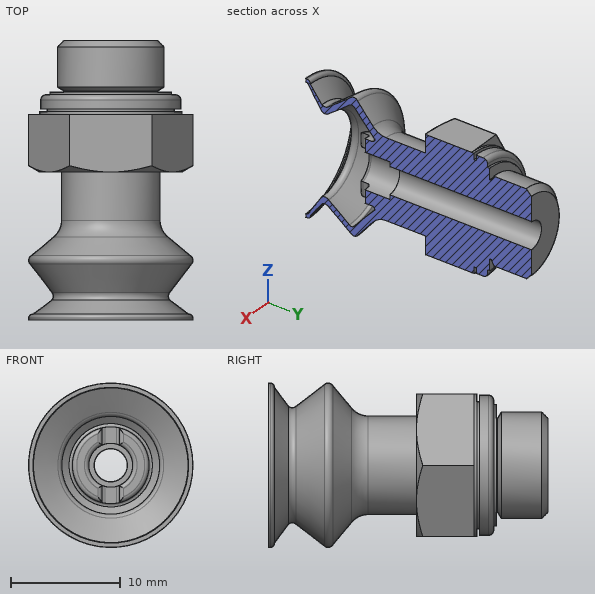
import cadquery as cq
import math


LENGTH = 25.5
HEX_START = 13.5
HEX_END = 18.75
COLLAR_END = 19.0
SEAL_START = 19.23
SEAL_END = 20.55
FLANGE_END = 20.78
RELIEF_END = 20.9
THREAD_START = 21.25

HEX_FLATS = 13.0
HEX_CHAMFER_ANGLE = 30.0
COLLAR_DIA = 13.0
GROOVE_DIA = 11.6
SEAL_DIA = 12.8
SEAL_FILLET = 0.5
FLANGE_DIA = 11.1
RELIEF_DIA = 8.6
THREAD_DIA = 9.73
THREAD_CHAMFER = 0.6
BORE_DIA = 3.0

STEM_DIA = 9.0
BELLOWS_DIA = 15.0
NECK_DIA = 10.52
NECK_FLARE = 0.1
NECK_START = 1.85
NECK_END = 2.5
LIP_RIM = 0.18
LIP_ROUND_DIA = 14.2
LIP_ROUND_END = 0.55
FOLD_Y = 5.44
FOLD_LOWER = (7.36, 5.1)
FOLD_UPPER = (7.23, 5.9)
SHOULDER = (5.2, 7.6)
STEM_START = 9.1

LIP_OPENING_DIA = 14.2
LIP_LEDGE_DIA = 14.1
LIP_LEDGE_DEPTH = 0.2
THROAT_DIA = 8.92
THROAT_LOWER = (4.82, 1.65)
THROAT_Y = 2.12
THROAT_UPPER = (4.63, 2.6)
INNER_FOLD_LOWER = (6.45, 4.95)
INNER_FOLD_RADIUS = 6.53
INNER_FOLD_Y = 5.2
INNER_FOLD_UPPER = (6.42, 5.45)
INNER_SHOULDER = (3.8, 7.77)

TUBE_DIA = 7.0
TUBE_END = 5.5
TUBE_BORE_DIA = 4.0
TUBE_BORE_DEPTH = 4.0
TUBE_FILLET = 0.4

SLOT_WIDTH = 1.55
SLOT_DEPTH = 1.2
SLOT_MOUTH_FILLET = 0.39
SLOT_FLOOR_FILLET = 0.26


def revolve(profile):
    """Close a (radius, Y) profile and turn it about the Y axis."""
    return profile.close().revolve(360, (0, 0, 0), (0, 1, 0))


def cylinder(diameter, start, end):
    """Round bar along Y between two stations."""
    profile = cq.Workplane("XY").moveTo(0, start).lineTo(diameter / 2, start)
    return revolve(profile.lineTo(diameter / 2, end).lineTo(0, end))


def arc_middle(start, end, start_direction):
    """Middle point of the arc that leaves `start` in the given direction and reaches `end`."""
    chord = (end[0] - start[0], end[1] - start[1])
    length = math.hypot(*chord)
    cross = chord[0] * start_direction[1] - chord[1] * start_direction[0]
    dot = chord[0] * start_direction[0] + chord[1] * start_direction[1]
    sagitta = length / 2 * math.tan(math.atan2(cross, dot) / 2)
    middle_x = (start[0] + end[0]) / 2 - chord[1] / length * sagitta
    middle_y = (start[1] + end[1]) / 2 + chord[0] / length * sagitta
    return (middle_x, middle_y)


def bellows_body():
    """Outer shape of the bellows and its stem, without the cavity."""
    rim = (BELLOWS_DIA / 2, LIP_RIM)
    lip_round = (LIP_ROUND_DIA / 2, LIP_ROUND_END)
    stem = (STEM_DIA / 2, STEM_START)
    shoulder_middle = arc_middle(stem, SHOULDER, (0, -1))
    neck_middle = (NECK_DIA / 2, (NECK_START + NECK_END) / 2)
    neck_edge = NECK_DIA / 2 + NECK_FLARE
    profile = (
        cq.Workplane("XY")
        .lineTo(BELLOWS_DIA / 2, 0)
        .lineTo(*rim)
        .threePointArc(arc_middle(rim, lip_round, (0, 1)), lip_round)
        .lineTo(neck_edge, NECK_START)
        .threePointArc(neck_middle, (neck_edge, NECK_END))
        .lineTo(*FOLD_LOWER)
        .threePointArc((BELLOWS_DIA / 2, FOLD_Y), FOLD_UPPER)
        .lineTo(*SHOULDER)
        .threePointArc(shoulder_middle, stem)
        .lineTo(STEM_DIA / 2, HEX_START)
        .lineTo(0, HEX_START)
    )
    return revolve(profile)


def bellows_cavity():
    """Space enclosed by the bellows, down to the root fillet around the insert tube."""
    tube_radius = TUBE_DIA / 2
    root_start = (tube_radius, INNER_SHOULDER[1] - (INNER_SHOULDER[0] - tube_radius))
    root_middle = arc_middle(root_start, INNER_SHOULDER, (0, 1))
    profile = (
        cq.Workplane("XY")
        .lineTo(LIP_OPENING_DIA / 2, 0)
        .lineTo(LIP_LEDGE_DIA / 2, LIP_LEDGE_DEPTH)
        .lineTo(*THROAT_LOWER)
        .threePointArc((THROAT_DIA / 2, THROAT_Y), THROAT_UPPER)
        .lineTo(*INNER_FOLD_LOWER)
        .threePointArc((INNER_FOLD_RADIUS, INNER_FOLD_Y), INNER_FOLD_UPPER)
        .lineTo(*INNER_SHOULDER)
        .threePointArc(root_middle, root_start)
        .lineTo(0, root_start[1])
    )
    return revolve(profile)


def slot_cutter():
    """Slot along Z with a rounded mouth and a rounded floor."""
    half = SLOT_WIDTH / 2
    floor = TUBE_END + SLOT_DEPTH
    mouth_half = half + SLOT_MOUTH_FILLET
    floor_half = half - SLOT_FLOOR_FILLET
    mouth_end = TUBE_END + SLOT_MOUTH_FILLET
    floor_start = floor - SLOT_FLOOR_FILLET
    mouth_right = arc_middle((half, mouth_end), (mouth_half, TUBE_END), (0, -1))
    floor_right = arc_middle((half, floor_start), (floor_half, floor), (0, 1))
    return (
        cq.Workplane("XY")
        .moveTo(-mouth_half, TUBE_END)
        .lineTo(mouth_half, TUBE_END)
        .threePointArc(mouth_right, (half, mouth_end))
        .lineTo(half, floor_start)
        .threePointArc(floor_right, (floor_half, floor))
        .lineTo(-floor_half, floor)
        .threePointArc((-floor_right[0], floor_right[1]), (-half, floor_start))
        .lineTo(-half, mouth_end)
        .threePointArc((-mouth_right[0], mouth_right[1]), (-mouth_half, TUBE_END))
        .close()
        .extrude(TUBE_DIA, both=True)
    )


def insert_tube():
    """Slotted tube with rounded end edges."""
    tube = cylinder(TUBE_DIA, TUBE_END, HEX_START)
    tube = tube.cut(cylinder(TUBE_BORE_DIA, TUBE_END, TUBE_END + TUBE_BORE_DEPTH))
    tube = tube.faces("<Y").edges().fillet(TUBE_FILLET)
    return tube.cut(slot_cutter())


def hexagon():
    """Hexagon with corners on X, chamfered on the side facing the bellows."""
    corner_radius = HEX_FLATS / 2 / math.cos(math.pi / 6)
    chamfer_rise = (corner_radius - HEX_FLATS / 2) * math.tan(math.radians(HEX_CHAMFER_ANGLE))
    prism = (
        cq.Workplane("XZ", origin=(0, HEX_END, 0))
        .polygon(6, 2 * corner_radius)
        .extrude(HEX_END - HEX_START)
    )
    envelope = (
        cq.Workplane("XY")
        .moveTo(0, HEX_START)
        .lineTo(HEX_FLATS / 2, HEX_START)
        .lineTo(corner_radius, HEX_START + chamfer_rise)
        .lineTo(corner_radius, HEX_END)
        .lineTo(0, HEX_END)
    )
    return prism.intersect(revolve(envelope))


def threaded_end():
    """Collar, seal ring, flange, thread relief and thread."""
    seal = cylinder(SEAL_DIA, SEAL_START, SEAL_END).faces(">Y").edges().fillet(SEAL_FILLET)
    thread = cylinder(THREAD_DIA, RELIEF_END, LENGTH).faces(">Y").edges().chamfer(THREAD_CHAMFER)
    thread = (
        thread.faces("<Y").edges()
        .chamfer(THREAD_START - RELIEF_END, (THREAD_DIA - RELIEF_DIA) / 2)
    )
    return (
        cylinder(COLLAR_DIA, HEX_END, COLLAR_END)
        .union(cylinder(GROOVE_DIA, COLLAR_END, SEAL_START))
        .union(seal)
        .union(cylinder(FLANGE_DIA, SEAL_END, FLANGE_END))
        .union(cylinder(RELIEF_DIA, FLANGE_END, RELIEF_END))
        .union(thread)
    )


result = (
    bellows_body()
    .cut(bellows_cavity())
    .union(insert_tube())
    .union(hexagon())
    .union(threaded_end())
    .cut(cylinder(BORE_DIA, TUBE_END, LENGTH))
    .cut(cylinder(TUBE_BORE_DIA, TUBE_END, TUBE_END + TUBE_BORE_DEPTH))
)